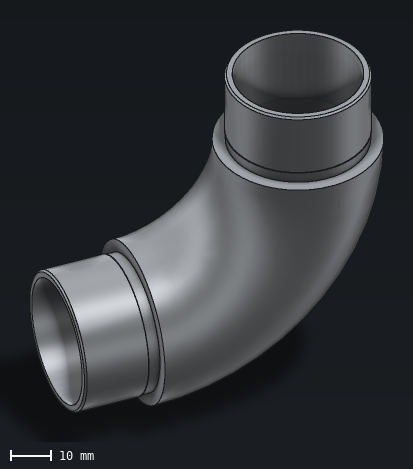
import cadquery as cq

body_diameter = 42.4
bore_diameter = 32.4
overall_size = 85.5
bend_angle = 90
spigot_length = 20.0
bend_radius = overall_size - spigot_length - body_diameter / 2

collar_diameter = 36.3
neck_diameter = 35.9
neck_length = 3.0
tip_chamfer = 0.5

front_end = cq.Plane(origin=(0, 0, 0), xDir=(1, 0, 0), normal=(0, -1, 0))
top_end = cq.Plane(origin=(0, bend_radius, bend_radius), xDir=(1, 0, 0), normal=(0, 0, 1))


def quarter_bend(diameter):
    """Solid quarter torus joining the two end planes."""
    return (
        cq.Workplane(front_end)
        .circle(diameter / 2)
        .revolve(bend_angle, (0, bend_radius), (1, bend_radius))
    )


def spigot(end_plane):
    """Solid neck and chamfered collar standing on one end of the bend."""
    neck = cq.Workplane(end_plane).circle(neck_diameter / 2).extrude(neck_length)
    collar = (
        cq.Workplane(end_plane)
        .workplane(offset=neck_length)
        .circle(collar_diameter / 2)
        .extrude(spigot_length - neck_length)
        .faces(cq.selectors.DirectionMinMaxSelector(end_plane.zDir, True))
        .chamfer(tip_chamfer)
    )
    return neck.union(collar)


def spigot_bore(end_plane):
    """Straight bore through one spigot."""
    return cq.Workplane(end_plane).circle(bore_diameter / 2).extrude(spigot_length)


outside = quarter_bend(body_diameter)
passage = quarter_bend(bore_diameter)
for end_plane in (front_end, top_end):
    outside = outside.union(spigot(end_plane))
    passage = passage.union(spigot_bore(end_plane))

result = outside.cut(passage)